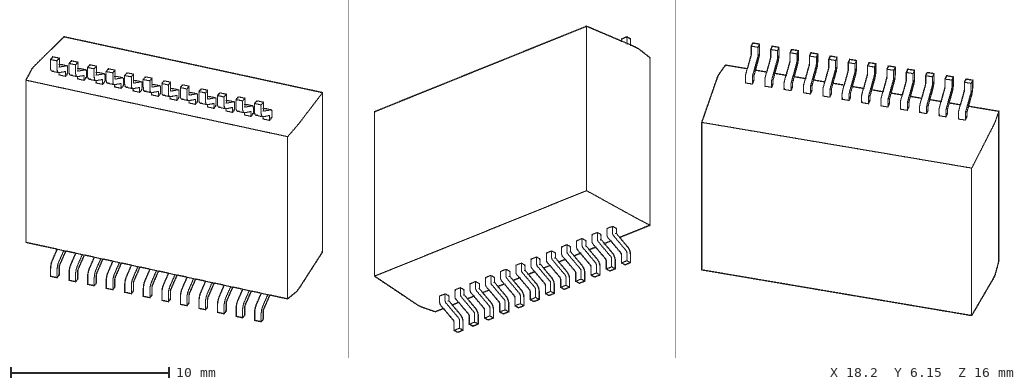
import cadquery as cq
import math

body_width = 18.15
overall_depth = 6.15
overall_height = 16.0

body_height = 12.2
lead_thickness = 0.36
band_depth = lead_thickness
standoff = 0.15
front_depth = 1.23
front_inset = 0.1
back_inset = 0.22

leads_per_row = 12
lead_pitch = 1.27
lead_width = 0.45
lead_embed = 0.36
shoulder_height = 0.47
leg_slope = 25.5
shoulder_radius = 0.18
foot_inner_radius = 0.15
foot_outer_radius = foot_inner_radius + lead_thickness

feet_y = -overall_depth / 2
front_y = feet_y + standoff
band_front_y = front_y + front_depth
band_back_y = band_front_y + band_depth
back_y = overall_depth / 2


def section(y, inset):
    """Rectangular body outline in the plane at y, as a closed wire."""
    x = body_width / 2 - inset
    z = body_height / 2 - inset
    corners = [(-x, y, -z), (x, y, -z), (x, y, z), (-x, y, z)]
    return cq.Wire.makePolygon([cq.Vector(*c) for c in corners], close=True)


def block(y_start, inset_start, y_end, inset_end):
    """Straight-sided block joining two body outlines."""
    outlines = [section(y_start, inset_start), section(y_end, inset_end)]
    return cq.Workplane(cq.Solid.makeLoft(outlines, True))


def make_body():
    front = block(front_y, front_inset, band_front_y, 0)
    band = block(band_front_y, 0, band_back_y, 0)
    back = block(band_back_y, 0, back_y, back_inset)
    return front.union(band).union(back)


def make_lead():
    """One gull-wing lead of the upper row, centred on X = 0."""
    slope = math.radians(leg_slope)
    body_top = body_height / 2
    root_z = body_top - lead_embed
    tip_z = overall_height / 2
    foot_back_y = feet_y + lead_thickness

    middle_y = (band_front_y + band_back_y) / 2
    half_rise = lead_thickness / 2 / math.cos(slope)

    def leg_z(y, side):
        """Height of the leg's upper (side = 1) or lower (side = -1) face at y."""
        centre = body_top + shoulder_height + (middle_y - y) * math.tan(slope)
        return centre + side * half_rise

    shoulder_outside = (band_back_y, leg_z(band_back_y, 1))
    foot_inside = (foot_back_y, leg_z(foot_back_y, 1))
    foot_outside = (feet_y, leg_z(feet_y, -1))
    shoulder_inside = (band_front_y, leg_z(band_front_y, -1))
    lead = (
        cq.Workplane("YZ")
        .moveTo(band_back_y, root_z)
        .lineTo(*shoulder_outside)
        .lineTo(*foot_inside)
        .lineTo(foot_back_y, tip_z)
        .lineTo(feet_y, tip_z)
        .lineTo(*foot_outside)
        .lineTo(*shoulder_inside)
        .lineTo(band_front_y, root_z)
        .close()
        .extrude(lead_width / 2, both=True)
    )
    bends = [
        (shoulder_outside, shoulder_radius),
        (foot_inside, foot_inner_radius),
        (foot_outside, foot_outer_radius),
    ]
    for (y, z), radius in bends:
        bend_edge = cq.selectors.NearestToPointSelector((0, y, z))
        lead = lead.edges("|X").edges(bend_edge).fillet(radius)
    return lead


result = make_body()
upper_lead = make_lead()
lower_lead = upper_lead.mirror("XY")
for index in range(leads_per_row):
    x = (index - (leads_per_row - 1) / 2) * lead_pitch
    result = result.union(upper_lead.translate((x, 0, 0)))
    result = result.union(lower_lead.translate((x, 0, 0)))